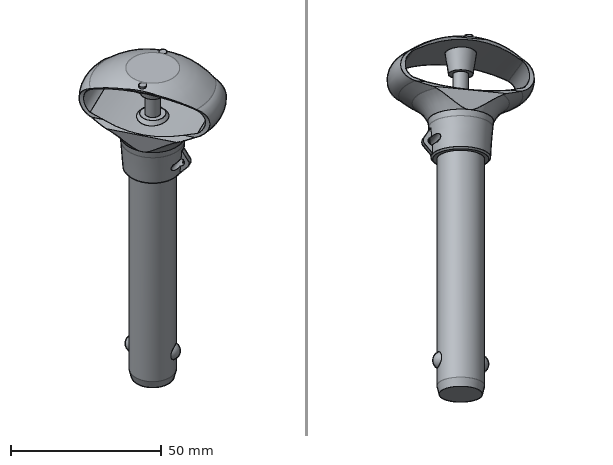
import cadquery as cq
import math

total_height = 124.5
width = 49.0
depth = 24.8

shank_radius = 8.0
tip_radius = 7.2
tip_height = 3.0
ball_radius = 3.1
ball_height = 11.5
ball_reach = 9.6

collar_bottom = 84.2
collar_bevel = 0.6
collar_bottom_radius = 10.0
collar_top = 95.5
collar_top_radius = 10.7
neck_height = 97.7
neck_radius = 11.0

head_radius = width / 2
head_mid = 112.4
crown_radius = 9.0
dome_mid_radius = 15.6
dome_mid_height = 121.9
shoulder_radius = 21.0
shoulder_height = 118.2
under_radius = 20.7
under_height = 106.7
flare_radius = 16.2
flare_height = 104.1
flare_mid_radius = 13.0
flare_mid_height = 101.0

flank_top_y = depth / 2
flank_top = 122.8
waist_upper = 118.2
waist_lower = 2 * head_mid - waist_upper
waist_edge_y = 9.6
waist_y = 8.5
flat_y = 11.5
flat_top = 104.6
flat_bottom_y = 11.0

opening_half_width = 21.4
opening_top = 122.3
opening_bottom = 104.8
opening_end_x = 18.9
opening_end_top = 117.5
opening_end_bottom = 108.2

stem_radius = 2.6
button_top_radius = 5.5
button_bottom_radius = 4.1
button_bottom = 114.5
seat_radius = 5.6
seat_top_radius = 4.4
seat_top = 106.2
embed = 1.2

pin_radius = 1.4
pin_top = 124.4
pin_y = crown_radius + pin_radius

lug_thickness = 2.0
lug_hole_radius = 1.5
lug_hole_x = 10.0
lug_hole_height = 89.3
lug_tip_x = 13.2
lug_nose_radius = 2.0
lug_upper = 93.9
lug_lower = 84.8


def cone(lower_radius, upper_radius, bottom, top):
    """Coaxial cone frustum between two heights."""
    points = [(0, bottom), (lower_radius, bottom), (upper_radius, top), (0, top)]
    return cq.Workplane("XZ").polyline(points).close().revolve(360, (0, 0), (0, 1))


def make_body():
    """Collar and handle as one turned shape."""
    return (
        cq.Workplane("YZ")
        .moveTo(0, collar_bottom)
        .lineTo(collar_bottom_radius - collar_bevel, collar_bottom)
        .lineTo(collar_bottom_radius, collar_bottom + collar_bevel)
        .lineTo(collar_top_radius, collar_top)
        .lineTo(neck_radius, neck_height)
        .threePointArc((flare_mid_radius, flare_mid_height), (flare_radius, flare_height))
        .lineTo(under_radius, under_height)
        .threePointArc((head_radius, head_mid), (shoulder_radius, shoulder_height))
        .threePointArc((dome_mid_radius, dome_mid_height), (crown_radius, total_height))
        .lineTo(0, total_height)
        .close()
        .revolve(360, (0, 0), (0, 1))
    )


def flank_cutter():
    """Material removed from the +Y flank."""
    outside = head_radius + embed
    return (
        cq.Workplane("YZ")
        .moveTo(flank_top_y, total_height + embed)
        .lineTo(flank_top_y, flank_top)
        .lineTo(waist_edge_y, waist_upper)
        .threePointArc((waist_y, head_mid), (waist_edge_y, waist_lower))
        .lineTo(flat_y, flat_top)
        .lineTo(flat_bottom_y, neck_height)
        .lineTo(outside, neck_height)
        .lineTo(outside, total_height + embed)
        .close()
        .extrude(outside, both=True)
    )


def finger_opening():
    """Lens-shaped passage along Y."""
    return (
        cq.Workplane("XZ")
        .moveTo(-opening_end_x, opening_end_bottom)
        .threePointArc((0, opening_bottom), (opening_end_x, opening_end_bottom))
        .threePointArc((opening_half_width, head_mid), (opening_end_x, opening_end_top))
        .threePointArc((0, opening_top), (-opening_end_x, opening_end_top))
        .threePointArc((-opening_half_width, head_mid), (-opening_end_x, opening_end_bottom))
        .close()
        .extrude(depth, both=True)
    )


def make_lug():
    """Triangular lug with a rounded nose on the +X side of the collar."""
    nose_x = lug_tip_x - lug_nose_radius
    lean = math.cos(math.radians(45)) * lug_nose_radius
    return (
        cq.Workplane("XZ")
        .moveTo(shank_radius, lug_lower)
        .lineTo(collar_bottom_radius, lug_lower)
        .lineTo(nose_x + lean, lug_hole_height - lean)
        .threePointArc((lug_tip_x, lug_hole_height), (nose_x + lean, lug_hole_height + lean))
        .lineTo(collar_top_radius, lug_upper)
        .lineTo(shank_radius, lug_upper)
        .close()
        .extrude(lug_thickness / 2, both=True)
    )


body = make_body()
flank = flank_cutter()
body = body.cut(flank).cut(flank.mirror("XZ")).cut(finger_opening())

body = body.union(cone(seat_radius, seat_top_radius, opening_bottom, seat_top))
body = body.union(cone(stem_radius, stem_radius, opening_bottom - embed, button_bottom + embed))
body = body.union(cone(button_bottom_radius, button_top_radius, button_bottom, opening_top + embed))

for side in (-1, 1):
    pin = cq.Workplane("XY", origin=(0, side * pin_y, opening_top)).circle(pin_radius)
    body = body.union(pin.extrude(pin_top - opening_top))

lug_hole = (
    cq.Workplane("XZ")
    .center(lug_hole_x, lug_hole_height)
    .circle(lug_hole_radius)
    .extrude(depth, both=True)
)
body = body.union(make_lug())
body = body.cut(lug_hole)

body = body.union(cone(tip_radius, shank_radius, 0, tip_height))
body = body.union(cone(shank_radius, shank_radius, tip_height, collar_bottom + embed))

for side in (-1, 1):
    ball_x = side * (ball_reach - ball_radius)
    body = body.union(cq.Workplane("XY", origin=(ball_x, 0, ball_height)).sphere(ball_radius))

result = body